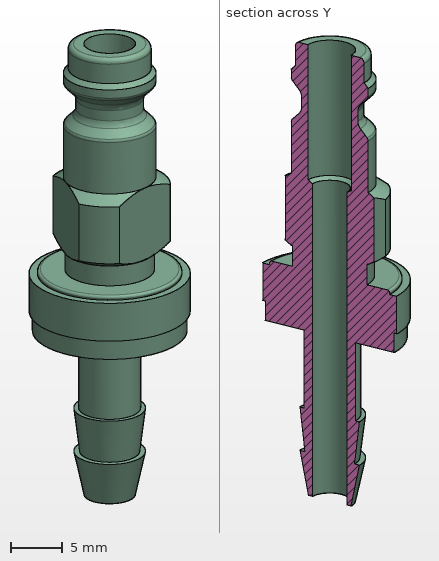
import cadquery as cq
import math

barb_pitch = 4.5
stem_bottom = 2 * barb_pitch
collar_bottom = 17.1
flange_bottom = 19.15
flange_top = 23.1
collar_top = 23.5
nut_bottom = 25.6
nut_top = 33.15
groove_bottom = 38.7
groove_top = 42.95
rim_top = 44.0
nose_bottom = 44.45
total_length = 47.0

barb_crest_radius = 3.5
barb_root_radius = 2.9
barb_tip_radius = 5.0 / 2
stem_radius = 6.0 / 2
collar_lower_radius = 15.0 / 2
flange_radius = 15.6 / 2
collar_upper_radius = 14.0 / 2
neck_radius = 8.7 / 2
plug_radius = 9.0 / 2
groove_radius = 6.6 / 2
nose_radius = 8.05 / 2

nut_radius = 5.88
nut_chamfer_angle = 30
flat_count = 3

nose_fillet = 0.5
groove_root_fillet = 1.0
groove_lip_fillet = 0.4
collar_fillet = 0.3

bore_radius = 4.0 / 2
wide_bore_radius = 5.0 / 2
wide_bore_depth = 14.1
drill_half_angle = 59


def revolve_profile(points):
    """Turn an outline of (radius, height) points about the Z axis."""
    return cq.Workplane("XZ").polyline(points).close().revolve(360, (0, 0), (0, 1))


def round_edge(body, radius, height, fillet):
    """Fillet the circular edge with the given radius and height."""
    tolerance = 0.0005
    edges = [
        edge
        for edge in body.edges("%CIRCLE").vals()
        if abs(edge.radius() - radius) < tolerance
        and abs(edge.Center().z - height) < tolerance
    ]
    return body.newObject(edges).fillet(fillet)


def make_turned_body():
    groove_depth = plug_radius - groove_radius
    root_bottom = groove_bottom + groove_depth
    root_top = groove_top - groove_depth
    body = revolve_profile([
        (0, 0),
        (barb_tip_radius, 0),
        (barb_crest_radius, barb_pitch),
        (barb_root_radius, barb_pitch),
        (barb_crest_radius, stem_bottom),
        (stem_radius, stem_bottom),
        (stem_radius, collar_bottom),
        (collar_lower_radius, collar_bottom),
        (collar_lower_radius, flange_bottom),
        (flange_radius, flange_bottom),
        (flange_radius, flange_top),
        (collar_upper_radius, flange_top),
        (collar_upper_radius, collar_top),
        (neck_radius, collar_top),
        (neck_radius, nut_bottom),
        (plug_radius, nut_bottom),
        (plug_radius, groove_bottom),
        (groove_radius, root_bottom),
        (groove_radius, root_top),
        (plug_radius, groove_top),
        (plug_radius, rim_top),
        (nose_radius, nose_bottom),
        (nose_radius, total_length),
        (0, total_length),
    ])
    body = round_edge(body, nose_radius, total_length, nose_fillet)
    body = round_edge(body, collar_upper_radius, collar_top, collar_fillet)
    for root_height in (root_bottom, root_top):
        body = round_edge(body, groove_radius, root_height, groove_root_fillet)
    for lip_height in (groove_bottom, groove_top):
        body = round_edge(body, plug_radius, lip_height, groove_lip_fillet)
    return body


def make_nut():
    """Chamfered disc with three flats tangent to the plug body."""
    chamfer_height = (nut_radius - plug_radius) * math.tan(math.radians(nut_chamfer_angle))
    disc = revolve_profile([
        (0, nut_bottom),
        (plug_radius, nut_bottom),
        (nut_radius, nut_bottom + chamfer_height),
        (nut_radius, nut_top - chamfer_height),
        (plug_radius, nut_top),
        (0, nut_top),
    ])
    triangle_diameter = 2 * plug_radius / math.cos(math.pi / flat_count)
    prism = (
        cq.Workplane("XY", origin=(0, 0, nut_bottom))
        .transformed(rotate=(0, 0, 90))
        .polygon(flat_count, triangle_diameter)
        .extrude(nut_top - nut_bottom)
    )
    return disc.intersect(prism)


def make_bore():
    step_top = total_length - wide_bore_depth
    cone_height = (wide_bore_radius - bore_radius) / math.tan(math.radians(drill_half_angle))
    return revolve_profile([
        (0, 0),
        (bore_radius, 0),
        (bore_radius, step_top - cone_height),
        (wide_bore_radius, step_top),
        (wide_bore_radius, total_length),
        (0, total_length),
    ])


result = make_turned_body().union(make_nut()).cut(make_bore())